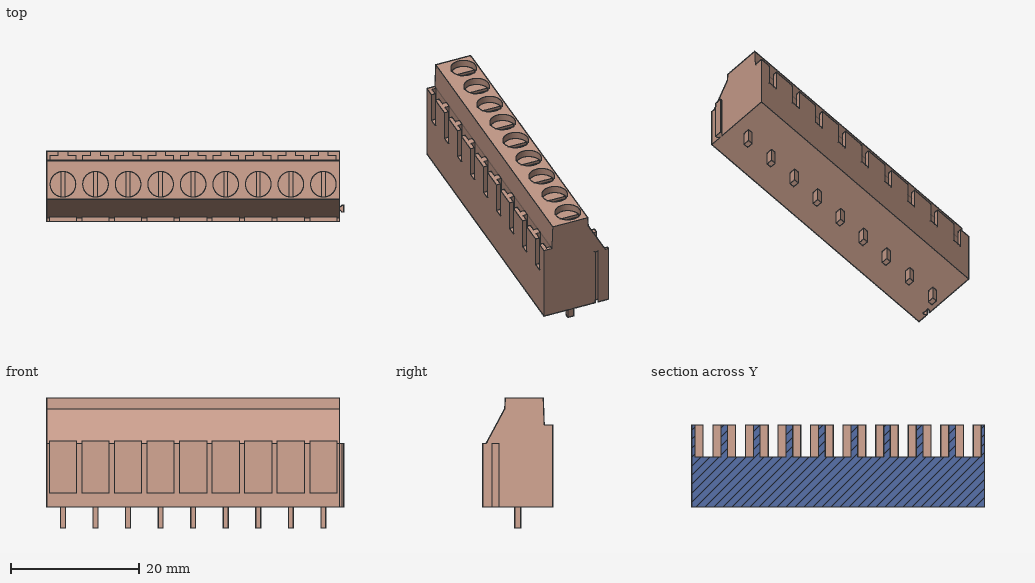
import cadquery as cq


pole_count = 9
pitch = 5.08
row_length = pole_count * pitch

housing_depth = 11.0
housing_height = 17.05
back_ledge_height = 12.85
front_ledge_height = 9.95
front_ledge_depth = 0.55
slope_top_height = 15.35
slope_top_y = 3.45
top_front_y = 3.54
top_back_y = 9.5
back_wall_foot_y = 9.65

window_width = 4.24
window_bottom = 2.2
window_depth = 0.75

well_diameter = 4.0
well_depth = 1.2
well_y = 5.85
driver_slot_width = 0.6
driver_slot_depth = 1.0

marker_width = 4.0
marker_neck_width = 1.5
marker_neck_length = 0.65
marker_depth = 5.0

pin_width = 0.8
pin_thickness = 1.0
pin_length = 3.25
pin_y = 5.5

key_length = 0.65
key_y = 2.05
key_neck_width = 0.42
key_head_width = 1.1
key_flare_end = 0.38
key_height = front_ledge_height


def box(x_min, x_max, y_min, y_max, z_min, z_max):
    """Axis-aligned box given by its limits."""
    size = (x_max - x_min, y_max - y_min, z_max - z_min)
    return cq.Workplane("XY").box(*size, centered=False).translate((x_min, y_min, z_min))


def make_housing():
    """Stepped cross-section extruded along the row."""
    profile = [
        (0, 0),
        (housing_depth, 0),
        (housing_depth, back_ledge_height),
        (back_wall_foot_y, back_ledge_height),
        (top_back_y, housing_height),
        (top_front_y, housing_height),
        (slope_top_y, slope_top_height),
        (front_ledge_depth, front_ledge_height),
        (0, front_ledge_height),
    ]
    return cq.Workplane("YZ").polyline(profile).close().extrude(row_length)


def make_window(x):
    """Wire window, open at its top where it meets the sloped face."""
    half_width = window_width / 2
    return box(x - half_width, x + half_width, 0, window_depth, window_bottom, slope_top_height)


def make_screw_well(x):
    """Round well with a screwdriver slot across the whole screw head."""
    head_z = housing_height - well_depth
    slot_z = head_z - driver_slot_depth
    radius = well_diameter / 2
    well = cq.Workplane("XY", origin=(x, well_y, head_z)).circle(radius).extrude(well_depth)
    slot = box(
        x - driver_slot_width / 2, x + driver_slot_width / 2,
        well_y - radius, well_y + radius,
        slot_z, head_z,
    )
    slot_limit = cq.Workplane("XY", origin=(x, well_y, slot_z)).circle(radius).extrude(driver_slot_depth)
    return well.union(slot.intersect(slot_limit))


def make_marker_slot(x):
    """T-shaped slot, open to the back through its narrow neck."""
    floor_z = back_ledge_height - marker_depth
    neck_y = housing_depth - marker_neck_length
    half_width = marker_width / 2
    half_neck = marker_neck_width / 2
    wide = box(x - half_width, x + half_width, back_wall_foot_y, neck_y, floor_z, back_ledge_height)
    neck = box(x - half_neck, x + half_neck, neck_y, housing_depth, floor_z, back_ledge_height)
    return wide.union(neck)


def make_pin(x):
    """Rectangular solder pin below the housing."""
    return box(
        x - pin_width / 2, x + pin_width / 2,
        pin_y - pin_thickness / 2, pin_y + pin_thickness / 2,
        -pin_length, 0,
    )


def make_key(x):
    """Upright bar whose narrow neck starts at x and flares to a wide head toward +X."""
    half_neck = key_neck_width / 2
    half_head = key_head_width / 2
    outline = [
        (x, key_y - half_neck),
        (x + key_flare_end, key_y - half_head),
        (x + key_length, key_y - half_head),
        (x + key_length, key_y + half_head),
        (x + key_flare_end, key_y + half_head),
        (x, key_y + half_neck),
    ]
    return cq.Workplane("XY").polyline(outline).close().extrude(key_height)


result = make_housing()
for pole in range(pole_count):
    pole_x = (pole + 0.5) * pitch
    result = result.cut(make_window(pole_x))
    result = result.cut(make_screw_well(pole_x))
    result = result.cut(make_marker_slot(pole_x))
    result = result.union(make_pin(pole_x))

result = result.cut(make_key(0)).union(make_key(row_length))